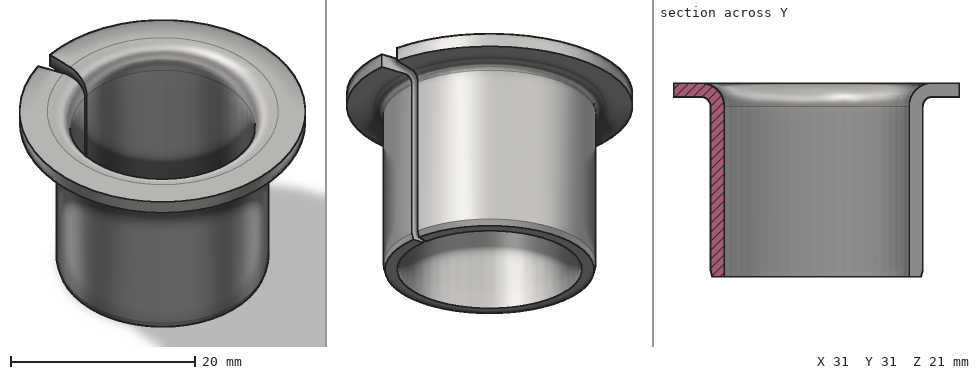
import cadquery as cq
import math

flange_radius = 15.5
height = 21.0
bore_radius = 10.0
wall = 1.52
flare_radius = 2.5
lead_in_height = 0.75
lead_in_angle = 15.0
slit_apex_radius = 8.95
slit_half_angle = 10.0

sleeve_radius = bore_radius + wall
neck_radius = flare_radius - wall
bend_center_radius = bore_radius + flare_radius
bend_center_z = height - flare_radius
lead_in_depth = lead_in_height * math.tan(math.radians(lead_in_angle))
diagonal = math.sqrt(0.5)


def bend_midpoint(radius):
    """Midpoint of a quarter bend about the common bend centre."""
    return (bend_center_radius - radius * diagonal, bend_center_z + radius * diagonal)


def make_flanged_sleeve():
    """Revolve the wall section, drawn as (radius, height), with its seam at the slit."""
    return (
        cq.Workplane("XZ")
        .moveTo(bore_radius, 0)
        .lineTo(sleeve_radius - lead_in_depth, 0)
        .lineTo(sleeve_radius, lead_in_height)
        .lineTo(sleeve_radius, bend_center_z)
        .threePointArc(bend_midpoint(neck_radius), (bend_center_radius, height - wall))
        .lineTo(flange_radius, height - wall)
        .lineTo(flange_radius, height)
        .lineTo(bend_center_radius, height)
        .threePointArc(bend_midpoint(flare_radius), (bore_radius, bend_center_z))
        .close()
        .revolve(360, (0, 0), (0, 1))
        .rotate((0, 0, 0), (0, 0, 1), 180)
    )


def make_slit():
    """Wedge opening toward -X through the full height of one wall."""
    reach = 1.1 * flange_radius
    half_width = (reach - slit_apex_radius) * math.tan(math.radians(slit_half_angle))
    return (
        cq.Workplane("XY")
        .polyline([(-slit_apex_radius, 0), (-reach, half_width), (-reach, -half_width)])
        .close()
        .extrude(height)
    )


result = make_flanged_sleeve().cut(make_slit())